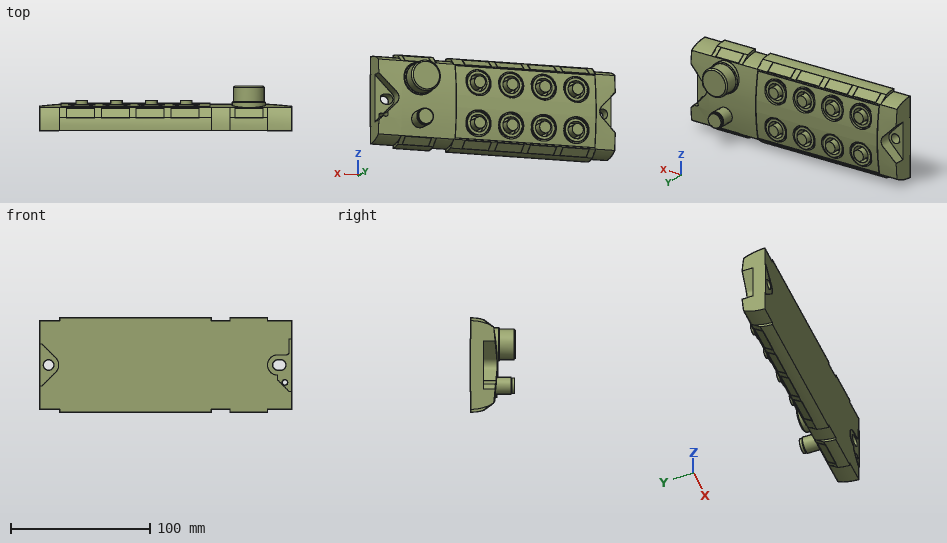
import cadquery as cq
import math

LENGTH = 181.5
HEIGHT = 68.0
WIDE_HALF_HEIGHT = HEIGHT / 2
NARROW_HALF_HEIGHT = 32.0
FRONT_EDGE_HALF = 27.4
FRONT_EDGE_DEPTH = 16.5
CROWN_DEPTH = 19.0
END_CROWN_DEPTH = 18.2
PAD_HEIGHT = 0.4

PORT_SECTION = (14.5, 123.6)
PLUG_SECTION = (136.9, 164.0)
FLAT_HALF = 32.7
FLAT_DEPTH = 9.5
BASE_WALL = 0.7
WIDE_SIDE_MID = (5.8, 33.5)
NARROW_SIDE_MID = (9.0, 30.7)
NARROW_SIDE_END = (14.9, 28.5)

ROW_OFFSET = 14.9
PORT_FIRST_X = 30.3
PORT_PITCH = 25.0
PORT_COUNT = 4
PLUG_X = (PLUG_SECTION[0] + PLUG_SECTION[1]) / 2
PORT_X = [PORT_FIRST_X + i * PORT_PITCH for i in range(PORT_COUNT)]

PLATE_SECTION = (15.5, 122.7)
PLATE_HALF = 26.5
PLATE_EDGE_DEPTH = 17.2
PLATE_CROWN_DEPTH = 19.8
PLATE_FLAT_HALF = 4.5
PLATE_SIDE_MID_DEPTH = 18.9

PORT_POCKET_RADIUS = 9.6
PORT_POCKET_FLOOR = 17.5

RIM_RADIUS = 8.5
RIM_DEPTH = 18.9
BORE_RADIUS = 6.4
BORE_FLOOR = 10.9
CORE_RADIUS = 8.5 / 2
CORE_TIP = 21.8
CORE_EMBED = 1.8

BIG_RADIUS = 22.3 / 2
BIG_TIP = 32.1
BIG_FLANGE_RADIUS = 24.1 / 2
BIG_FLANGE_TOP = 20.9
BIG_FLANGE_CHAMFER = 0.7
BIG_TIP_CHAMFER = 1.0

SMALL_RADIUS = 6.2
SMALL_SHOULDER = 29.0
SMALL_TIP_RADIUS = 5.6
SMALL_TIP = 31.5
SMALL_GROOVE_RADIUS = 5.0
SMALL_GROOVE_WIDTH = 0.5

LABEL_LENGTH = 20.1
LABEL_SHIFT = -0.9
LABEL_RECESS = 0.4
LABEL_TOP_MARGIN = 0.5

HOLE_X = 6.5
HOLE_DIAMETER = 7.5
SLOT_X = 172.5
SLOT_LENGTH = 9.5
GROUND_HOLE_X = 176.5
GROUND_HOLE_Z = -12.5
GROUND_HOLE_DIAMETER = 3.8
NOTCH_RADIUS = 5.8
NOTCH_FLOOR = 9.3
NOTCH_OVERRUN = 1.8
PAD_RADIUS = 7.3
PAD_HALF = 15.0
GROUND_PAD_CENTER_X = 171.2
GROUND_PAD_TOP = 18.9
GROUND_PAD_BOTTOM = -18.9
GROUND_PAD_EDGE_X = 179.5
GROUND_PAD_STEP_Z = -10.7
GROUND_PAD_FILLET = 2.2

SIN45 = math.sqrt(0.5)


def along_x(x):
    """Section plane at x with local axes Y (depth) and Z (height)."""
    return cq.Workplane("YZ", origin=(x, 0, 0))


def along_y(y):
    """Plane at depth y with local axes X and Z; positive extrusion runs toward the back."""
    return cq.Workplane("XZ", origin=(0, y, 0))


def front_disc(x, z, radius, start, end):
    """Round boss or bore along Y from depth start to depth end."""
    return along_y(start).center(x, z).circle(radius).extrude(start - end)


def mirrored(point):
    """The same depth on the lower half of the section."""
    depth, height = point
    return depth, -height


def narrow_profile(x, crown):
    """Cross-section of the ends and waist."""
    base = (BASE_WALL, NARROW_HALF_HEIGHT)
    front_edge = (FRONT_EDGE_DEPTH, FRONT_EDGE_HALF)
    return (
        along_x(x)
        .moveTo(0, -NARROW_HALF_HEIGHT)
        .lineTo(*mirrored(base))
        .threePointArc(mirrored(NARROW_SIDE_MID), mirrored(NARROW_SIDE_END))
        .lineTo(*mirrored(front_edge))
        .threePointArc((crown, 0), front_edge)
        .lineTo(*NARROW_SIDE_END)
        .threePointArc(NARROW_SIDE_MID, base)
        .lineTo(0, NARROW_HALF_HEIGHT)
        .close()
    )


def wide_section(start, end):
    """Wide section: curved sides, sloped label flats and a bowed front."""
    base = (BASE_WALL, WIDE_HALF_HEIGHT)
    flat_start = (FLAT_DEPTH, FLAT_HALF)
    front_edge = (FRONT_EDGE_DEPTH, FRONT_EDGE_HALF)
    return (
        along_x(start)
        .moveTo(0, -WIDE_HALF_HEIGHT)
        .lineTo(*mirrored(base))
        .threePointArc(mirrored(WIDE_SIDE_MID), mirrored(flat_start))
        .lineTo(*mirrored(front_edge))
        .threePointArc((CROWN_DEPTH, 0), front_edge)
        .lineTo(*flat_start)
        .threePointArc(WIDE_SIDE_MID, base)
        .lineTo(0, WIDE_HALF_HEIGHT)
        .close()
        .extrude(end - start)
    )


def tapered_end(inner_x, outer_x):
    """End block whose front crown falls toward the end face."""
    inner = narrow_profile(inner_x, CROWN_DEPTH).wires().val()
    outer = narrow_profile(outer_x, END_CROWN_DEPTH).wires().val()
    return cq.Workplane(cq.Solid.makeLoft([inner, outer], True))


def housing():
    left, right = PORT_SECTION[0], PLUG_SECTION[1]
    body = narrow_profile(left, CROWN_DEPTH).extrude(right - left)
    body = body.union(tapered_end(left, 0)).union(tapered_end(right, LENGTH))
    for section in (PORT_SECTION, PLUG_SECTION):
        body = body.union(wide_section(*section))
    return body.union(port_plate())


def port_plate():
    """Raised plate that carries the ports, flat along the middle and curved to both sides."""
    edge = (PLATE_EDGE_DEPTH, PLATE_HALF)
    side_mid = (PLATE_SIDE_MID_DEPTH, (PLATE_HALF + PLATE_FLAT_HALF) / 2)
    flat_edge = (PLATE_CROWN_DEPTH, PLATE_FLAT_HALF)
    return (
        along_x(PLATE_SECTION[0])
        .moveTo(FLAT_DEPTH, -PLATE_HALF)
        .lineTo(*mirrored(edge))
        .threePointArc(mirrored(side_mid), mirrored(flat_edge))
        .lineTo(*flat_edge)
        .threePointArc(side_mid, edge)
        .lineTo(FLAT_DEPTH, PLATE_HALF)
        .close()
        .extrude(PLATE_SECTION[1] - PLATE_SECTION[0])
    )


def label_recess(x, side):
    """Shallow cutter in the sloped flat; side is +1 (upper) or -1 (lower)."""
    run = FRONT_EDGE_DEPTH - FLAT_DEPTH
    rise = FRONT_EDGE_HALF - FLAT_HALF
    flat_length = math.hypot(run, rise)
    inward = (rise / flat_length * LABEL_RECESS, -run / flat_length * LABEL_RECESS)
    top_share = 1 - LABEL_TOP_MARGIN / flat_length
    corners = [
        (FLAT_DEPTH, FLAT_HALF),
        (FLAT_DEPTH + run * top_share, FLAT_HALF + rise * top_share),
    ]
    outer = [(y - inward[0], z - inward[1]) for y, z in corners]
    inner = [(y + inward[0], z + inward[1]) for y, z in reversed(corners)]
    outline = [(y, side * z) for y, z in outer + inner]
    return along_x(x - LABEL_LENGTH / 2).polyline(outline).close().extrude(LABEL_LENGTH)


def add_port(body, x, z):
    """Female port: shallow round pocket, flat rim, deep bore and a protruding core."""
    body = body.cut(front_disc(x, z, PORT_POCKET_RADIUS, PORT_POCKET_FLOOR, CORE_TIP))
    body = body.union(front_disc(x, z, RIM_RADIUS, BORE_FLOOR, RIM_DEPTH))
    body = body.cut(front_disc(x, z, BORE_RADIUS, BORE_FLOOR, CORE_TIP))
    return body.union(front_disc(x, z, CORE_RADIUS, BORE_FLOOR - CORE_EMBED, CORE_TIP))


def big_plug():
    flange = front_disc(PLUG_X, ROW_OFFSET, BIG_FLANGE_RADIUS, FLAT_DEPTH, BIG_FLANGE_TOP)
    barrel = front_disc(PLUG_X, ROW_OFFSET, BIG_RADIUS, FLAT_DEPTH, BIG_TIP)
    flange = flange.faces(">Y").chamfer(BIG_FLANGE_CHAMFER)
    return flange.union(barrel.faces(">Y").chamfer(BIG_TIP_CHAMFER))


def small_plug():
    z = -ROW_OFFSET
    groove_end = SMALL_SHOULDER + SMALL_GROOVE_WIDTH
    barrel = front_disc(PLUG_X, z, SMALL_RADIUS, FLAT_DEPTH, SMALL_SHOULDER)
    neck = front_disc(PLUG_X, z, SMALL_GROOVE_RADIUS, FLAT_DEPTH, groove_end)
    tip = front_disc(PLUG_X, z, SMALL_TIP_RADIUS, groove_end, SMALL_TIP)
    return barrel.union(neck).union(tip)


def rounded_wedge(plane, center_x, radius, half, far_x, outward):
    """Rounded tip at center_x, 45-degree sides up to half, then straight to far_x."""
    tangent = radius * SIN45
    tangent_x = center_x - outward * tangent
    wide_x = tangent_x + outward * (half - tangent)
    return (
        plane.moveTo(far_x, half)
        .lineTo(wide_x, half)
        .lineTo(tangent_x, tangent)
        .threePointArc((center_x - outward * radius, 0), (tangent_x, -tangent))
        .lineTo(wide_x, -half)
        .lineTo(far_x, -half)
        .close()
    )


def mounting_notch(center_x, end_x, outward):
    """Front notch cutter through the end face at end_x; outward is the X direction, +1 or -1."""
    reach = abs(end_x - center_x)
    half = reach + NOTCH_RADIUS / SIN45
    far_x = end_x + outward * NOTCH_OVERRUN
    wedge = rounded_wedge(along_y(NOTCH_FLOOR), center_x, NOTCH_RADIUS, half, far_x, outward)
    return wedge.extrude(NOTCH_FLOOR - CORE_TIP)


def plain_pad():
    """Proud back pad around the round mounting hole."""
    return rounded_wedge(along_y(0), HOLE_X, PAD_RADIUS, PAD_HALF, 0, -1).extrude(PAD_HEIGHT)


def ground_pad():
    """Proud back pad around the slot and the ground hole."""
    cx = GROUND_PAD_CENTER_X
    slope_run = GROUND_PAD_STEP_Z - GROUND_PAD_BOTTOM
    fillet = GROUND_PAD_FILLET
    return (
        along_y(0)
        .moveTo(LENGTH, GROUND_PAD_TOP)
        .lineTo(GROUND_PAD_EDGE_X, GROUND_PAD_TOP)
        .lineTo(GROUND_PAD_EDGE_X, PAD_RADIUS + fillet)
        .radiusArc((GROUND_PAD_EDGE_X - fillet, PAD_RADIUS), fillet)
        .lineTo(cx, PAD_RADIUS)
        .threePointArc((cx - PAD_RADIUS, 0), (cx, -PAD_RADIUS))
        .lineTo(cx, GROUND_PAD_STEP_Z)
        .lineTo(cx + slope_run, GROUND_PAD_BOTTOM)
        .lineTo(LENGTH, GROUND_PAD_BOTTOM)
        .close()
        .extrude(PAD_HEIGHT)
    )


def mounting_holes():
    start = -PAD_HEIGHT
    hole = front_disc(HOLE_X, 0, HOLE_DIAMETER / 2, start, CORE_TIP)
    ground = front_disc(GROUND_HOLE_X, GROUND_HOLE_Z, GROUND_HOLE_DIAMETER / 2, start, CORE_TIP)
    slot = along_y(start).center(SLOT_X, 0).slot2D(SLOT_LENGTH, HOLE_DIAMETER).extrude(start - CORE_TIP)
    return hole.union(ground).union(slot)


result = housing()
for label_x in [x + LABEL_SHIFT for x in PORT_X] + [PLUG_X]:
    for side in (1, -1):
        result = result.cut(label_recess(label_x, side))
for port_x in PORT_X:
    for side in (1, -1):
        result = add_port(result, port_x, side * ROW_OFFSET)
result = result.union(big_plug()).union(small_plug())
result = result.cut(mounting_notch(HOLE_X, 0, -1)).cut(mounting_notch(SLOT_X, LENGTH, 1))
result = result.union(plain_pad()).union(ground_pad())
result = result.cut(mounting_holes())